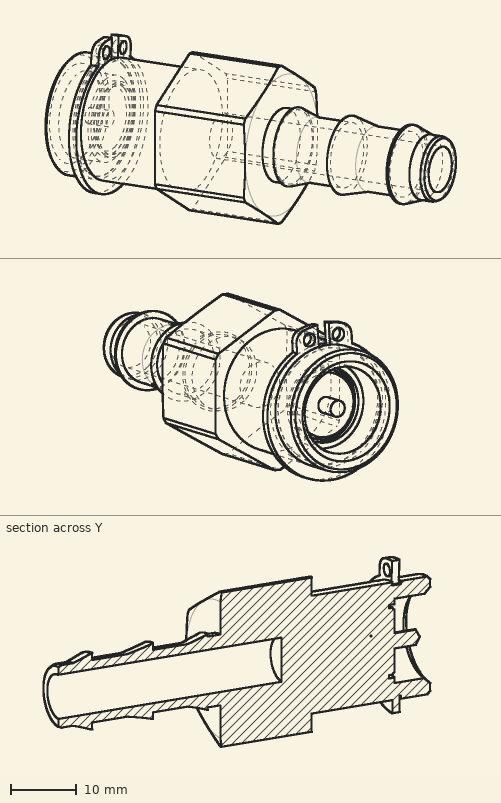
import cadquery as cq
import math

total_length = 64.5
overall_height = 25.3

body_diameter = 19.0
body_chamfer = 0.5
bore_diameter = 13.5
bore_mouth_diameter = 15.5
bore_mouth_depth = 1.0
bore_depth = 6.2

seat_diameter = 11.75
seat_depth = 0.95
disc_diameter = 10.85
disc_top_diameter = 10.0
disc_chamfer_height = 0.4
pin_diameter = 2.5
pin_shoulder_x = 2.5
pin_cone_height = 0.7

groove_start = 5.15
groove_diameter = 18.0
ring_start = 5.3
ring_end = 6.6
ring_outer_radius = 10.9
ring_eccentricity = 0.7
ring_turn = -4.2
lug_half_width = 4.9
lug_corner_radius = 1.95
lug_hole_diameter = 2.0
lug_hole_offset = 2.6
lug_hole_height = 10.8
ring_gap = 2.0

hex_start = 20.5
hex_end = 36.45
hex_across_flats = 22.0
hex_across_corners = 24.85
hex_face_diameter = 21.9
hex_chamfer_length = 0.25

lug_outer_radius = overall_height - hex_across_corners / 2

neck_diameter = 11.5
tail_diameter = 10.1
barb_diameter = 12.25
tail_bore_diameter = 7.0
tail_bore_depth = 38.7
tail_chamfer = 0.6
tail_chamfer_depth = 0.25
barbs = [(38.6, 0.0, 42.05), (48.05, 0.0, 52.5), (58.55, 0.3, 62.0)]


def revolve_profile(points):
    """Turn a closed (x, radius) outline about the X axis."""
    return cq.Workplane("XY").polyline(points).close().revolve(360, (0, 0, 0), (1, 0, 0))


def rod(diameter, start, end):
    """Cylinder along X."""
    return cq.Workplane("YZ").workplane(offset=start).circle(diameter / 2).extrude(end - start)


def make_body():
    body = rod(body_diameter, 0, hex_end).faces("<X").chamfer(body_chamfer)
    groove = rod(body_diameter, groove_start, ring_end).cut(rod(groove_diameter, groove_start, ring_end))
    return body.cut(groove)


def make_hexagon():
    length = hex_end - hex_start
    half_side_angle = math.radians(30)
    sharp_diameter = hex_across_flats / math.cos(half_side_angle)
    plane = cq.Workplane("YZ").workplane(offset=hex_start)
    hexagon = plane.transformed(rotate=(0, 0, 30)).polygon(6, sharp_diameter).extrude(length)
    corner_cutter = plane.polygon(6, hex_across_corners / math.cos(half_side_angle)).extrude(length)
    end_envelope = revolve_profile([
        (hex_start, 0),
        (hex_start, sharp_diameter / 2),
        (hex_end - hex_chamfer_length, sharp_diameter / 2),
        (hex_end - hex_chamfer_length, hex_across_corners / 2),
        (hex_end, hex_face_diameter / 2),
        (hex_end, 0),
    ])
    return hexagon.intersect(corner_cutter).intersect(end_envelope)


def make_tail():
    barb_radius = barb_diameter / 2
    tail_radius = tail_diameter / 2
    outline = [(hex_end, 0), (hex_end, neck_diameter / 2)]
    root_radius = neck_diameter / 2
    for start, land, end in barbs:
        outline += [(start, root_radius), (start, barb_radius)]
        if land:
            outline.append((start + land, barb_radius))
        outline.append((end, tail_radius))
        root_radius = tail_radius
    outline += [
        (total_length - tail_chamfer, tail_radius),
        (total_length, tail_radius - tail_chamfer_depth),
        (total_length, 0),
    ]
    return revolve_profile(outline)


def make_socket_cavity():
    """Bore with a tapered mouth; the valve disc and its pin stay standing in it."""
    seat_floor = bore_depth + seat_depth
    pin_radius = pin_diameter / 2
    return revolve_profile([
        (0, 0),
        (0, bore_mouth_diameter / 2),
        (bore_mouth_depth, bore_diameter / 2),
        (bore_depth, bore_diameter / 2),
        (bore_depth, seat_diameter / 2),
        (seat_floor, seat_diameter / 2),
        (seat_floor, disc_diameter / 2),
        (bore_depth + disc_chamfer_height, disc_diameter / 2),
        (bore_depth, disc_top_diameter / 2),
        (bore_depth, pin_radius),
        (pin_shoulder_x, pin_radius),
        (pin_shoulder_x - pin_cone_height, 0),
    ])


def make_retaining_ring():
    thickness = ring_end - ring_start
    plane = cq.Workplane("YZ").workplane(offset=ring_start)
    band = plane.center(0, -ring_eccentricity).circle(ring_outer_radius).extrude(thickness)
    shoulder_height = math.sqrt(lug_outer_radius**2 - lug_half_width**2)
    lugs = (
        plane.moveTo(-lug_half_width, 0)
        .lineTo(-lug_half_width, shoulder_height)
        .threePointArc((0, lug_outer_radius), (lug_half_width, shoulder_height))
        .lineTo(lug_half_width, 0)
        .close()
        .extrude(thickness)
        .edges("|X")
        .edges(">Z")
        .fillet(lug_corner_radius)
    )
    holes = (
        plane.pushPoints([(-lug_hole_offset, lug_hole_height), (lug_hole_offset, lug_hole_height)])
        .circle(lug_hole_diameter / 2)
        .extrude(thickness)
    )
    gap = plane.center(0, lug_outer_radius / 2).rect(ring_gap, lug_outer_radius).extrude(thickness)
    ring = band.union(lugs).cut(holes).cut(gap).cut(rod(groove_diameter, ring_start, ring_end))
    return ring.rotate((0, 0, 0), (1, 0, 0), ring_turn)


tail_bore = rod(tail_bore_diameter, total_length - tail_bore_depth, total_length)

result = (
    make_body()
    .union(make_hexagon())
    .union(make_tail())
    .cut(make_socket_cavity())
    .cut(tail_bore)
    .union(make_retaining_ring())
)